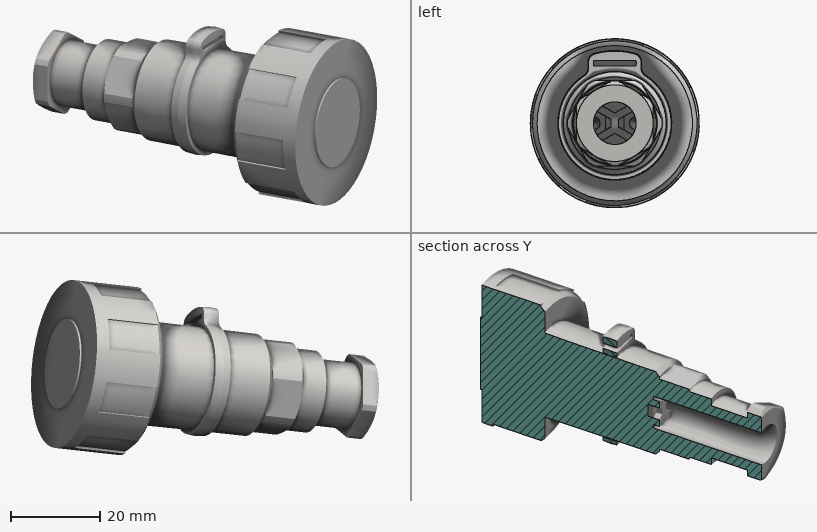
import cadquery as cq
import math

gland_end = 3.8
neck_end = 13.1
collar_end = 18.75
hexagon_end = 26.7
barrel_chamfer_end = 27.7
barrel_end = 56.5
head_bevel_end = 57.6
grip_end = 70.0
head_end = 73.05
total_length = 73.5

gland_flat = 8.6
gland_corner = 9.55
gland_tip = gland_flat
gland_chamfer_length = 0.45

neck_radius = 7.5
collar_radius = 9.25
hexagon_flat = 9.6
hexagon_corner = 10.6
hexagon_tip = 9.5
hexagon_chamfer_length = 0.65

barrel_tip_radius = 10.4
barrel_start_radius = 11.55
barrel_end_radius = 11.75

head_radius = 18.95
head_bevel_radius = 18.45
head_face_radius = 17.4
spigot_radius = 10.15
rim_clearance = 0.7
grip_count = 8
grip_pitch = 360 / grip_count
grip_width = 7.4
grip_first_angle = 8.2

bore_radius = 4.8
bore_depth = hexagon_end
web_slope = math.tan(math.radians(30))
web_half_width = 0.8
web_fork = 2.3
ledge_offset = 2.05
pocket_depth = 1.5
deep_pocket_depth = 2.95
dimple_radius = 1.5
dimple_depth = 1.5

ring_start = 37.8
ring_end = 41.45
ring_parting = 39.55
ring_radius = 12.8
ring_draft = 5.0
loop_top_radius = 16.3
loop_half_width = 6.0
loop_fillet = 2.0
slot_length = 9.6
slot_height = 1.3
slot_middle = 13.45
slot_corner = 0.45


def turned(points):
    """Solid of revolution about X from (x, radius) points."""
    return cq.Workplane("XY").polyline(points).close().revolve(360, (0, 0, 0), (1, 0, 0))


def prism(x, points, length):
    """Prism along +X from a (y, z) outline."""
    return cq.Workplane("YZ", origin=(x, 0, 0)).polyline(points).close().extrude(length)


def disc(x, radius, length):
    """Cylinder along +X."""
    return cq.Workplane("YZ", origin=(x, 0, 0)).circle(radius).extrude(length)


def hexagon(start, end, flat, corner, tip, chamfer_length, first_corner_angle):
    """Hexagonal length with its corners trimmed round and chamfered at the -X end."""
    across_corner = flat / math.cos(math.radians(30))
    corner_angles = [math.radians(first_corner_angle + 60 * i) for i in range(6)]
    outline = [(across_corner * math.cos(a), across_corner * math.sin(a)) for a in corner_angles]
    envelope = turned([
        (start, 0),
        (start, tip),
        (start + chamfer_length, corner),
        (end, corner),
        (end, 0),
    ])
    return prism(start, outline, end - start).intersect(envelope)


def barrel_radius(x):
    share = (x - barrel_chamfer_end) / (barrel_end - barrel_chamfer_end)
    return barrel_start_radius + share * (barrel_end_radius - barrel_start_radius)


def turned_sections():
    """Neck, collar, barrel, coupling head and spigot."""
    return turned([
        (gland_end, 0),
        (gland_end, neck_radius),
        (neck_end, neck_radius),
        (neck_end, collar_radius),
        (collar_end, collar_radius),
        (hexagon_end, collar_radius),
        (hexagon_end, barrel_tip_radius),
        (barrel_chamfer_end, barrel_start_radius),
        (barrel_end, barrel_end_radius),
        (barrel_end, head_face_radius),
        (head_bevel_end, head_bevel_radius),
        (head_bevel_end, head_radius),
        (head_end, head_radius),
        (head_end, spigot_radius),
        (total_length, spigot_radius),
        (total_length, 0),
    ])


def grip_recesses():
    """Shallow recesses round the coupling head, open towards -X."""
    length = grip_end - head_bevel_end
    rim = disc(head_bevel_end, head_radius + rim_clearance, length).cut(
        disc(head_bevel_end, head_bevel_radius, length)
    )
    beam = (
        cq.Workplane("YZ", origin=(head_bevel_end, 0, 0))
        .center(head_radius, 0)
        .rect(2 * head_radius, grip_width)
        .extrude(length)
    )
    recess = rim.intersect(beam)
    recesses = cq.Workplane("XY")
    for i in range(grip_count):
        angle = grip_first_angle + i * grip_pitch
        recesses = recesses.add(recess.rotate((0, 0, 0), (1, 0, 0), angle))
    return recesses.combine()


def vee_pocket():
    """Pocket above the fork of the webs."""
    side_height = web_fork + bore_radius * web_slope
    outline = [(0, web_fork), (bore_radius, side_height), (-bore_radius, side_height)]
    return prism(bore_depth, outline, pocket_depth)


def side_pocket(inner, depth):
    """Pocket on the +Y side that widens away from the middle web."""
    inner_height = web_half_width + (inner - web_half_width) * web_slope
    outer_height = web_half_width + (bore_radius - web_half_width) * web_slope
    outline = [
        (inner, inner_height),
        (bore_radius, outer_height),
        (bore_radius, -outer_height),
        (inner, -inner_height),
    ]
    return prism(bore_depth, outline, depth)


def dimple():
    """Conical dimple in the deep pocket floor, at the bore wall on the +Y side."""
    floor = bore_depth + deep_pocket_depth
    cone = turned([(floor, 0), (floor, dimple_radius), (floor + dimple_depth, 0)])
    return cone.translate((0, bore_radius, 0))


def cable_bore():
    """Blind bore with webs left standing on its floor."""
    side = side_pocket(web_half_width, pocket_depth)
    side = side.union(side_pocket(ledge_offset, deep_pocket_depth)).union(dimple())
    recesses = vee_pocket().union(side)
    recesses = recesses.union(recesses.rotate((0, 0, 0), (1, 0, 0), 180))
    full_depth = bore_depth + deep_pocket_depth + dimple_depth
    recesses = recesses.intersect(disc(0, bore_radius, full_depth))
    return disc(0, bore_radius, bore_depth).union(recesses)


def make_housing():
    gland = hexagon(
        0, gland_end, gland_flat, gland_corner, gland_tip, gland_chamfer_length, 30
    )
    body_hexagon = hexagon(
        collar_end, hexagon_end, hexagon_flat, hexagon_corner, hexagon_tip, hexagon_chamfer_length, 0
    )
    housing = turned_sections().union(gland).union(body_hexagon)
    return housing.cut(grip_recesses()).cut(cable_bore())


def ring_outline():
    """Ring circle with the tether loop on top, at the parting plane."""
    concave_y = loop_half_width + loop_fillet
    concave_distance = ring_radius + loop_fillet
    concave_z = math.sqrt(concave_distance**2 - concave_y**2)
    root_y = concave_y * ring_radius / concave_distance
    root_z = concave_z * ring_radius / concave_distance
    convex_y = loop_half_width - loop_fillet
    convex_distance = loop_top_radius - loop_fillet
    convex_z = math.sqrt(convex_distance**2 - convex_y**2)
    top_y = convex_y * loop_top_radius / convex_distance
    top_z = convex_z * loop_top_radius / convex_distance

    def fillet_middle(center_y, center_z, from_angle, to_angle):
        middle = (from_angle + to_angle) / 2
        return (center_y + loop_fillet * math.cos(middle), center_z + loop_fillet * math.sin(middle))

    root_angle = math.atan2(-concave_z, -concave_y) + 2 * math.pi
    root_middle = fillet_middle(concave_y, concave_z, math.pi, root_angle)
    top_middle = fillet_middle(convex_y, convex_z, 0, math.atan2(convex_z, convex_y))
    return (
        cq.Workplane("YZ", origin=(ring_parting, 0, 0))
        .moveTo(root_y, root_z)
        .threePointArc(root_middle, (loop_half_width, concave_z))
        .lineTo(loop_half_width, convex_z)
        .threePointArc(top_middle, (top_y, top_z))
        .threePointArc((0, loop_top_radius), (-top_y, top_z))
        .threePointArc((-top_middle[0], top_middle[1]), (-loop_half_width, convex_z))
        .lineTo(-loop_half_width, concave_z)
        .threePointArc((-root_middle[0], root_middle[1]), (-root_y, root_z))
        .threePointArc((0, -ring_radius), (root_y, root_z))
        .close()
    )


def make_tether_ring():
    front = ring_outline().extrude(ring_end - ring_parting, taper=ring_draft)
    back = ring_outline().extrude(ring_start - ring_parting, taper=ring_draft)
    barrel_hole = turned([
        (ring_start, 0),
        (ring_start, barrel_radius(ring_start)),
        (ring_end, barrel_radius(ring_end)),
        (ring_end, 0),
    ])
    slot = (
        cq.Workplane("YZ", origin=(ring_start, 0, slot_middle))
        .rect(slot_length, slot_height)
        .extrude(ring_end - ring_start)
        .edges("|X")
        .fillet(slot_corner)
    )
    return front.union(back, clean=False).cut(barrel_hole).cut(slot)


housing = make_housing()
tether_ring = make_tether_ring()
result = cq.Compound.makeCompound([*housing.solids().vals(), *tether_ring.solids().vals()])